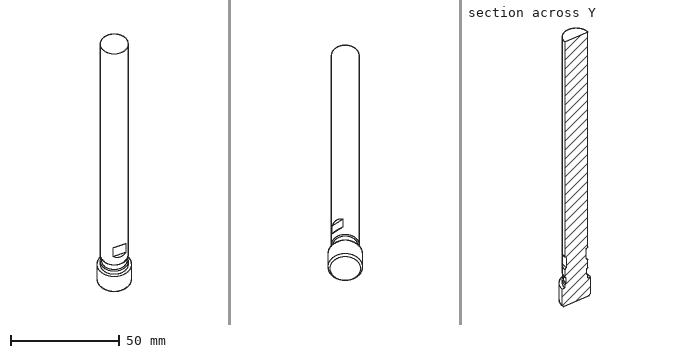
import cadquery as cq

total_length = 156.6
shaft_diameter = 13.0
shaft_radius = shaft_diameter / 2

head_radius = 8.0
head_top = 11.0
head_chamfer_height = 1.1
head_chamfer_width = 1.0

collar_top = 13.0
groove_depth = 0.55
groove_top = 17.0
groove_radius = shaft_radius - groove_depth

flat_offset = 5.6
flat_bottom = 21.8
flat_top = 29.3
flat_depth = shaft_radius - flat_offset


def make_turned_body():
    """Revolve the half profile of head, collar, groove and shaft."""
    profile = [
        (0, 0),
        (head_radius - head_chamfer_width, 0),
        (head_radius, head_chamfer_height),
        (head_radius, head_top),
        (shaft_radius, head_top),
        (shaft_radius, collar_top),
        (groove_radius, collar_top + groove_depth),
        (groove_radius, groove_top - groove_depth),
        (shaft_radius, groove_top),
        (shaft_radius, total_length),
        (0, total_length),
    ]
    return cq.Workplane("XZ").polyline(profile).close().revolve(360, (0, 0), (0, 1))


def make_flat_cutter(side):
    """Trapezoidal prism that cuts the flat on the +X (side=1) or -X (side=-1) face."""
    outer_offset = shaft_radius + flat_depth
    section = [
        (side * outer_offset, flat_bottom - flat_depth),
        (side * flat_offset, flat_bottom + flat_depth),
        (side * flat_offset, flat_top - flat_depth),
        (side * outer_offset, flat_top + flat_depth),
    ]
    return cq.Workplane("XZ").polyline(section).close().extrude(shaft_radius, both=True)


result = make_turned_body()
for side in (-1, 1):
    result = result.cut(make_flat_cutter(side))